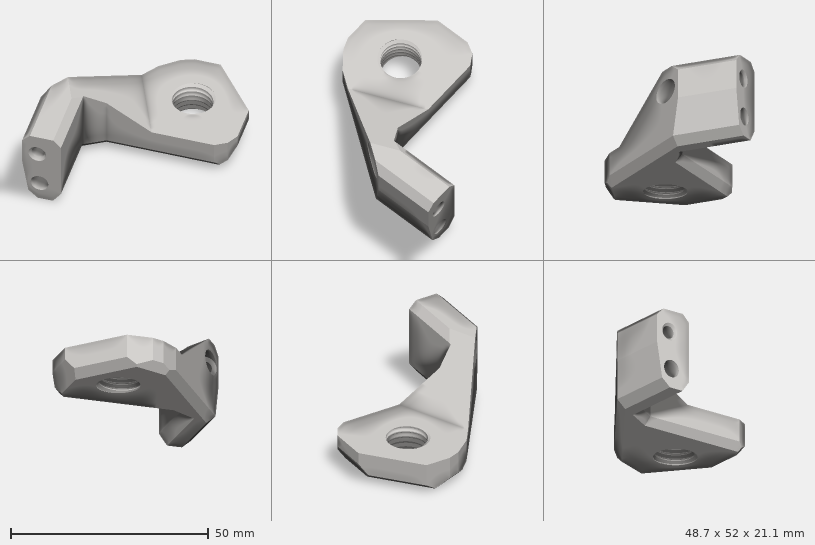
import cadquery as cq
import math

width = 48.7
length = 52.0
height = 21.05
leg_width = 10.25
plate_thickness = 8.15
far = 78.0
clearance = 0.5

leg_inner = (leg_width, 20.05)
web_end = (15.45, 23.1)
front_right = (43.95, web_end[1])
right_facet_start = (47.0, 24.9)
right_facet_end = (width, 27.9)
right_rear = (width, 37.85)
rear_right = (37.1, length)
rear_left = (30.1, length)
rear_facet = (26.85, 50.75)
long_wall_end = (22.1, 47.0)
long_wall_start = (0, 16.55)

bevel_height = 2.15
bevel_inset = 2.05
front_bevel_inset = 1.65
leg_bevel = (2.15, 2.9)
right_bevel = (2.95, 4.95)
rear_bevel_inset = 2.6

top_chamfer = 2.05
taper_start_z = 11.55
taper_inset = 1.6
leg_foot_inset = 4.1

ramp_top = (5.1, 23.5)
ramp_foot = (19.0, 42.65)
ramp_angle = 23.3

screw_x, screw_z = 4.0, 15.25
screw_diameter = 3.4
screw_mouth_diameter = 4.7
screw_head_diameter = 6.0
screw_head_y = 17.9
pin_x, pin_z = 4.6, 5.25
pin_diameter = 4.7
pin_depth = 10.4

thread_center = (33.95, 37.6)
thread_minor = 10.5
thread_major = 12.2
thread_pitch = 1.5
thread_groove_width = 1.25
thread_root_width = 0.2
thread_start_z = -1.25


def edge_bevel(start, end, inset, rise):
    """Everything outside and below a bevel plane; the plan lies left of start -> end."""
    dx, dy = end[0] - start[0], end[1] - start[1]
    plane = cq.Plane(origin=(*start, 0), xDir=(-dy, dx, 0), normal=(dx, dy, 0))
    reach_height = rise * (1 + far / inset)
    profile = [(inset, 0), (-far, reach_height), (-far, -clearance), (inset, -clearance)]
    return cq.Workplane(plane).polyline(profile).close().extrude(far, both=True)


def hole_along_y(x, z, diameter, start_y, depth):
    """Cylinder pointing toward +Y."""
    plane = cq.Plane(origin=(x, start_y, z), xDir=(1, 0, 0), normal=(0, 1, 0))
    return cq.Workplane(plane).circle(diameter / 2).extrude(depth)


def make_blank():
    plan = [
        (0, 0), (leg_width, 0), leg_inner, web_end, front_right, right_facet_start, right_facet_end,
        right_rear, rear_right, rear_left, rear_facet, long_wall_end, long_wall_start,
    ]
    return cq.Workplane("XY").polyline(plan).close().extrude(height)


def make_ramp_cut():
    """Removes the space above the ramp and above the plate."""
    angle = math.radians(ramp_angle)
    direction = (math.cos(angle), math.sin(angle), 0)
    run = (ramp_foot[0] - ramp_top[0]) * direction[0] + (ramp_foot[1] - ramp_top[1]) * direction[1]
    plane = cq.Plane(origin=(*ramp_top, 0), xDir=direction, normal=(direction[1], -direction[0], 0))
    profile = [(0, height), (run, plate_thickness), (far, plate_thickness), (far, height)]
    return cq.Workplane(plane).polyline(profile).close().extrude(far, both=True)


def trim_leg(body):
    """Chamfers the top of the leg and leans its outer wall inward toward the foot."""
    outer = [
        (0, height), (top_chamfer, height), (0, height - top_chamfer), (0, taper_start_z),
        (taper_inset, bevel_height), (leg_foot_inset, 0), (-clearance, 0), (-clearance, height),
    ]
    inner = [
        (leg_width - top_chamfer, height), (leg_width, height), (leg_width, height - top_chamfer),
    ]
    for profile in (outer, inner):
        body = body.cut(cq.Workplane("XZ").polyline(profile).close().extrude(-leg_inner[1]))
    return body


def bevel_underside(body):
    outer_edges = [
        (right_facet_start, right_facet_end, bevel_inset, bevel_height),
        (right_facet_end, right_rear, *right_bevel),
        (right_rear, rear_right, rear_bevel_inset, bevel_height),
        (rear_left, rear_facet, bevel_inset, bevel_height),
        (long_wall_end, long_wall_start, bevel_inset, bevel_height),
    ]
    for edge in outer_edges:
        body = body.cut(edge_bevel(*edge))
    inside_corner = edge_bevel((leg_width, 0), leg_inner, *leg_bevel)
    for start, end in ((leg_inner, web_end), (web_end, front_right)):
        inside_corner = inside_corner.intersect(edge_bevel(start, end, front_bevel_inset, bevel_height))
    return body.cut(inside_corner)


def drill_leg(body):
    body = body.cut(hole_along_y(screw_x, screw_z, screw_diameter, 0, length))
    mouth_depth = (screw_mouth_diameter - screw_diameter) / 2
    mouth = cq.Solid.makeCone(
        screw_mouth_diameter / 2, screw_diameter / 2, mouth_depth,
        pnt=cq.Vector(screw_x, 0, screw_z), dir=cq.Vector(0, 1, 0),
    )
    body = body.cut(cq.Workplane(mouth))
    body = body.cut(hole_along_y(screw_x, screw_z, screw_head_diameter, screw_head_y, length))
    return body.cut(hole_along_y(pin_x, pin_z, pin_diameter, 0, pin_depth))


def cut_thread(body):
    """Bores the plate and cuts a helical groove that runs out at both faces."""
    minor_radius = thread_minor / 2
    bore_inset = 0.15
    inner_radius = minor_radius - bore_inset
    helix = cq.Wire.makeHelix(thread_pitch, plate_thickness + 2 * thread_pitch, inner_radius)
    flank = (thread_groove_width - thread_root_width) / (thread_major / 2 - minor_radius)
    mouth_width = thread_groove_width + flank * bore_inset
    groove_profile = [
        (inner_radius, -mouth_width / 2), (thread_major / 2, -thread_root_width / 2),
        (thread_major / 2, thread_root_width / 2), (inner_radius, mouth_width / 2),
    ]
    groove = cq.Workplane("XZ").polyline(groove_profile).close().sweep(cq.Workplane(helix), isFrenet=True)
    groove = groove.translate((*thread_center, thread_start_z))
    bore = cq.Workplane("XY").center(*thread_center).circle(minor_radius).extrude(height)
    return body.cut(bore).cut(groove)


body = make_blank().cut(make_ramp_cut())
body = trim_leg(body)
body = bevel_underside(body)
body = drill_leg(body)
result = cut_thread(body)